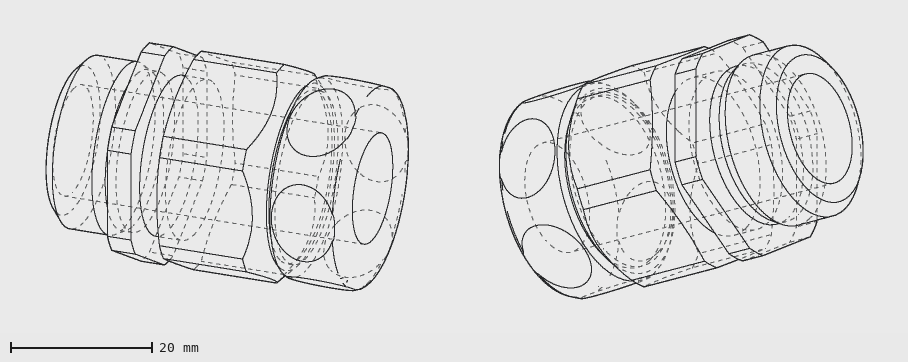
import cadquery as cq
import math

total_length = 45.5
bore_diameter = 16.0

thread_diameter = 25.0
neck_diameter = 23.15
entry_face_diameter = 21.48
entry_chamfer_length = 1.65
thread_end = 7.65
neck_start = 9.35

locknut_start = 10.95
locknut_end = 14.55
locknut_corner_diameter = 32.85

wrench_size = 30.0
body_corner_diameter = 33.0
body_start = 18.47
body_end = 34.55
body_front_chamfer = 0.4
body_rear_diameter = 26.95

cap_start = 35.45
cap_wrench_size = 29.05
cap_crown_diameter = 31.4
cap_end_diameter = 28.75
cap_edge_radius = 0.55


def revolve_around_x(profile):
    """Turn a closed profile of (x, radius) points around the X axis."""
    return profile.close().revolve(360, (0, 0, 0), (1, 0, 0))


def hex_prism(start, end, across_flats):
    """Hexagonal prism along X with two flats facing +Y and -Y."""
    corner_diameter = across_flats / math.cos(math.pi / 6)
    prism = cq.Workplane("YZ").polygon(6, corner_diameter).extrude(end - start)
    return prism.rotate((0, 0, 0), (1, 0, 0), 30).translate((start, 0, 0))


def make_core():
    """Threaded end, narrow neck and the collar under the cap nut."""
    thread_radius = thread_diameter / 2
    neck_radius = neck_diameter / 2
    profile = cq.Workplane("XY").polyline([
        (0, 0),
        (0, entry_face_diameter / 2),
        (entry_chamfer_length, thread_radius),
        (thread_end, thread_radius),
        (neck_start, neck_radius),
        (body_start, neck_radius),
        (body_start, thread_radius),
        (cap_start, thread_radius),
        (cap_start, 0),
    ])
    return revolve_around_x(profile)


def make_locknut():
    """Thin hexagon with its corners turned down."""
    width = locknut_end - locknut_start
    disc = cq.Workplane("YZ").circle(locknut_corner_diameter / 2).extrude(width)
    return hex_prism(locknut_start, locknut_end, wrench_size).intersect(disc.translate((locknut_start, 0, 0)))


def make_body():
    """Hexagon with turned corners, a shallow front chamfer and a 45 degree rear one."""
    corner_radius = body_corner_diameter / 2
    rear_radius = body_rear_diameter / 2
    profile = cq.Workplane("XY").polyline([
        (body_start, 0),
        (body_start, wrench_size / 2),
        (body_start + body_front_chamfer, corner_radius),
        (body_end - (corner_radius - rear_radius), corner_radius),
        (body_end, rear_radius),
        (body_end, 0),
    ])
    return hex_prism(body_start, body_end, wrench_size).intersect(revolve_around_x(profile))


def make_cap():
    """Barrel with a rounded outer edge and six flats cut into its crown."""
    half_length = (total_length - cap_start) / 2
    crown_x = cap_start + half_length
    crown_radius = cap_crown_diameter / 2
    end_radius = cap_end_diameter / 2
    sag = crown_radius - end_radius

    arc_radius = (half_length**2 + sag**2) / (2 * sag)
    edge_x = total_length - cap_edge_radius
    edge_drop = arc_radius - math.sqrt(arc_radius**2 - (edge_x - crown_x)**2)
    edge_height = crown_radius - edge_drop

    profile = (
        cq.Workplane("XY")
        .moveTo(cap_start, 0)
        .lineTo(cap_start, end_radius)
        .threePointArc((crown_x, crown_radius), (edge_x, edge_height))
        .radiusArc((total_length, edge_height - cap_edge_radius), cap_edge_radius)
        .lineTo(total_length, 0)
    )
    return hex_prism(cap_start, total_length, cap_wrench_size).intersect(revolve_around_x(profile))


bore = cq.Workplane("YZ").circle(bore_diameter / 2).extrude(total_length)
result = make_core().union(make_locknut()).union(make_body()).union(make_cap()).cut(bore)